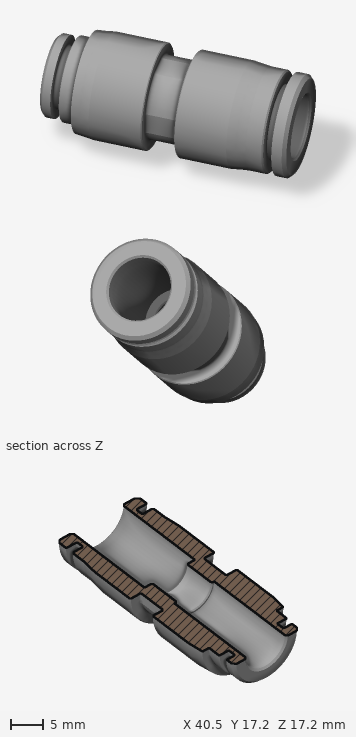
import cadquery as cq

length = 40.5

barrel_diameter = 17.2
barrel_radius = barrel_diameter / 2
shoulder_radius = 8.25
left_barrel_start = 5.65
left_taper_end = 8.65
left_barrel_end = 17.25
right_barrel_start = 22.5
right_taper_start = 31.02
right_taper_end = 34.0
barrel_edge_chamfer = 0.15

neck_radius = 6.72
neck_flat_width = 3.8
neck_fillet = 0.25

left_sleeve_radius = 6.7
left_sleeve_flange_end = 1.82
left_sleeve_chamfer = 0.53
left_groove_radius = 5.0
left_groove_fillet = 0.25
left_collar_start = 3.25
left_collar_radius = 6.93
left_collar_chamfer = 0.12

right_collar_end = 36.85
right_collar_chamfer = 0.25
right_groove_radius = 6.08
right_groove_fillet = 0.25
right_sleeve_start = 38.25
right_sleeve_chamfer = 0.55

sleeve_wall = 0.97
socket_chamfer = 0.32
socket_depth = left_barrel_end
bore_radius = 3.52
bore_step_chamfer = 0.2

selection_margin = 0.05


def disc(start, end, radius):
    """Solid cylinder along X between two stations measured from the left end."""
    plane = cq.Workplane("YZ", origin=(start - length / 2, 0, 0))
    return plane.circle(radius).extrude(end - start)


def cone(start, end, start_radius, end_radius):
    """Solid frustum along X between two stations measured from the left end."""
    x_start = start - length / 2
    x_end = end - length / 2
    outline = [(x_start, 0), (x_start, start_radius), (x_end, end_radius), (x_end, 0)]
    return cq.Workplane("XY").polyline(outline).close().revolve(360, (0, 0, 0), (1, 0, 0))


def make_neck():
    """Round neck with four flats, flared by small fillets where it meets the barrels."""
    flat_distance = (neck_radius**2 - (neck_flat_width / 2) ** 2) ** 0.5
    neck = disc(left_barrel_end, right_barrel_start, neck_radius)
    square = cq.Workplane("XY").box(length, 2 * flat_distance, 2 * flat_distance)
    return neck.intersect(square)


def make_barrels():
    left = disc(left_taper_end, left_barrel_end, barrel_radius)
    left = left.faces(">X").chamfer(barrel_edge_chamfer)
    left_taper = cone(left_barrel_start, left_taper_end, shoulder_radius, barrel_radius)
    right = disc(right_barrel_start, right_taper_start, barrel_radius)
    right = right.faces("<X").chamfer(barrel_edge_chamfer)
    right_taper = cone(right_taper_start, right_taper_end, barrel_radius, shoulder_radius)
    return left.union(left_taper), right.union(right_taper)


def make_body():
    left, right = make_barrels()
    body = left.union(make_neck()).union(right)
    reach = neck_radius + selection_margin
    root_box = cq.selectors.BoxSelector(
        (left_barrel_end - length / 2 - selection_margin, -reach, -reach),
        (right_barrel_start - length / 2 + selection_margin, reach, reach),
        boundingbox=True,
    )
    return body.edges(root_box).edges("not |X").fillet(neck_fillet)


def groove_flare(station, radius, fillet, direction):
    """Ring that rounds the corner between a groove floor and the flange at the station."""
    x_flange = station - length / 2
    x_floor = x_flange + direction * fillet
    mid = fillet * (1 - 0.5**0.5)
    return (
        cq.Workplane("XY")
        .moveTo(x_flange, radius - fillet)
        .lineTo(x_flange, radius + fillet)
        .threePointArc((x_flange + direction * mid, radius + mid), (x_floor, radius))
        .lineTo(x_floor, radius - fillet)
        .close()
        .revolve(360, (0, 0, 0), (1, 0, 0))
    )


def make_left_end():
    flange = disc(0, left_sleeve_flange_end, left_sleeve_radius)
    flange = flange.faces("<X").chamfer(left_sleeve_chamfer)
    floor = disc(left_sleeve_flange_end, left_collar_start, left_groove_radius)
    collar = disc(left_collar_start, left_barrel_start, left_collar_radius)
    collar = collar.faces("<X").chamfer(left_collar_chamfer)
    flare = groove_flare(left_sleeve_flange_end, left_groove_radius, left_groove_fillet, 1)
    return flange.union(floor).union(flare).union(collar)


def make_right_end():
    collar = disc(right_taper_end, right_collar_end, shoulder_radius)
    collar = collar.faces(">X").chamfer(right_collar_chamfer)
    floor = disc(right_collar_end, right_sleeve_start, right_groove_radius)
    flare = groove_flare(right_sleeve_start, right_groove_radius, right_groove_fillet, -1)
    flange = disc(right_sleeve_start, length, shoulder_radius)
    flange = flange.faces(">X").chamfer(right_sleeve_chamfer)
    return collar.union(floor).union(flare).union(flange)


def make_socket(radius):
    """Tube socket entering from the left end, with a chamfered mouth and bottom step."""
    socket = disc(0, socket_depth, radius)
    mouth = cone(0, socket_chamfer, radius + socket_chamfer, radius)
    step_end = socket_depth + bore_step_chamfer
    step = cone(socket_depth, step_end, bore_radius + bore_step_chamfer, bore_radius)
    return socket.union(mouth).union(step)


def make_bore():
    left_socket = make_socket(left_groove_radius - sleeve_wall)
    right_socket = make_socket(right_groove_radius - sleeve_wall).mirror("YZ")
    return disc(0, length, bore_radius).union(left_socket).union(right_socket)


result = make_body().union(make_left_end()).union(make_right_end()).cut(make_bore())